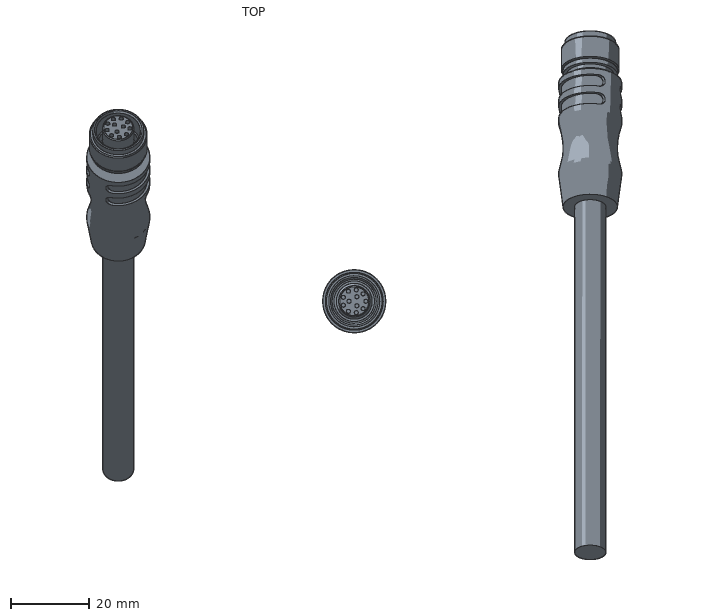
import cadquery as cq

overall_length = 148.7
grip_bottom = 100.1
band_bottom = 109.1
band_top = 110.0
waist_top = 124.0
grip_top = 135.9
neck_top = 137.3
collar_top = 138.3
nut_bottom = 139.5
nut_top = 145.9
sleeve_top = 147.7

cable_radius = 4.0
grip_end_radius = 7.0
grip_radius = 8.1
waist_radius = 7.0
neck_radius = 4.83
collar_radius = 6.1
ring_radius = 7.0
nut_radius = 7.5
nut_chamfer = 0.3
sleeve_radius = 6.5

socket_radius = 5.7
socket_upper_depth = 6.0
socket_lower_radius = 5.2
socket_depth = 8.9
socket_entry_chamfer = 0.5
insert_radius = 4.0
insert_chamfer = 0.3
insert_base_flare = 0.6

outer_contacts = 9
outer_contact_circle = 3.0
inner_contacts = 3
inner_contact_circle = 1.3
contact_radius = 0.52
contact_depth = 4.5

groove_floor_radius = 7.5
groove_height = 3.3
groove_end_x = 3.0
groove_centres = (132.6, 127.5)


def cylinder(radius, bottom, top):
    return cq.Workplane("XY").workplane(offset=bottom).circle(radius).extrude(top - bottom)


def revolve_about_axis(profile):
    """Solid of revolution about Z from a closed (radius, height) profile."""
    return profile.close().revolve(360, (0, 0, 0), (0, 1, 0))


def grip_body():
    """Moulded grip: tapered end, narrow band, concave waist and straight upper part."""
    waist_middle = (band_top + waist_top) / 2
    return revolve_about_axis(
        cq.Workplane("XZ")
        .moveTo(0, grip_bottom)
        .lineTo(grip_end_radius, grip_bottom)
        .lineTo(grip_radius, band_bottom)
        .lineTo(grip_radius, band_top)
        .threePointArc((waist_radius, waist_middle), (grip_radius, waist_top))
        .lineTo(grip_radius, grip_top)
        .lineTo(0, grip_top)
    )


def finger_groove(side, centre_height):
    """Groove cutter on the +X (side = 1) or -X (side = -1) half of the grip."""
    reach = 2 * grip_radius
    length = reach - groove_end_x
    bottom = centre_height - groove_height / 2
    slot = (
        cq.Workplane("XZ")
        .center(side * (groove_end_x + length / 2), centre_height)
        .slot2D(length, groove_height)
        .extrude(reach, both=True)
    )
    outer = cylinder(reach, bottom, bottom + groove_height)
    core = cylinder(groove_floor_radius, bottom, bottom + groove_height)
    return outer.cut(core).intersect(slot)


def socket_space():
    """Space inside the sleeve: chamfered entry, step in the wall, flared foot of the insert."""
    floor = sleeve_top - socket_depth
    step = sleeve_top - socket_upper_depth
    return revolve_about_axis(
        cq.Workplane("XZ")
        .moveTo(insert_radius, sleeve_top)
        .lineTo(insert_radius, floor + insert_base_flare)
        .lineTo(insert_radius + insert_base_flare, floor)
        .lineTo(socket_lower_radius, floor)
        .lineTo(socket_lower_radius, step)
        .lineTo(socket_radius, step)
        .lineTo(socket_radius, sleeve_top - socket_entry_chamfer)
        .lineTo(socket_radius + socket_entry_chamfer, sleeve_top)
    )


def contact_holes(count, circle_radius, first_angle):
    return (
        cq.Workplane("XY")
        .workplane(offset=overall_length - contact_depth)
        .polarArray(circle_radius, first_angle, 360, count)
        .circle(contact_radius)
        .extrude(contact_depth)
    )


result = cylinder(cable_radius, 0, grip_bottom).union(grip_body())
for side in (-1, 1):
    for centre_height in groove_centres:
        result = result.cut(finger_groove(side, centre_height))

nut = cylinder(nut_radius, nut_bottom, nut_top).faces("<Z or >Z").chamfer(nut_chamfer)
result = (
    result.union(cylinder(neck_radius, grip_top, neck_top))
    .union(cylinder(collar_radius, neck_top, collar_top))
    .union(cylinder(ring_radius, collar_top, nut_bottom))
    .union(nut)
    .union(cylinder(sleeve_radius, nut_top, sleeve_top))
)

insert_tip = cylinder(insert_radius, sleeve_top, overall_length).faces(">Z").chamfer(insert_chamfer)
result = result.cut(socket_space()).union(insert_tip)
result = result.cut(contact_holes(outer_contacts, outer_contact_circle, 0))
result = result.cut(contact_holes(inner_contacts, inner_contact_circle, 180))